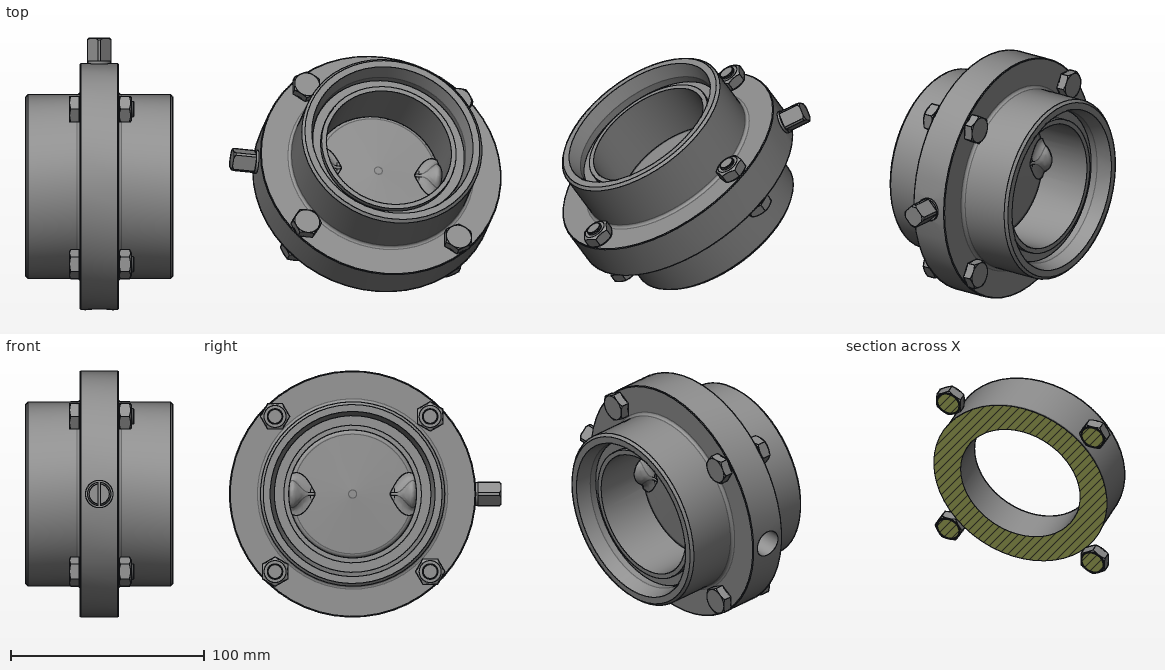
import cadquery as cq
import math

body_length = 76.0
body_radius = 95.0 / 2
body_end_chamfer = 1.4
flange_radius = 127.0 / 2
flange_width = 19.9
flange_edge_chamfer = 0.4
neck_fillet = 1.5

mouth_radius = 42.5
socket_radius = 80.8 / 2
mouth_taper_depth = 7.5
socket_depth = 11.3
lip_radius = 71.0 / 2
lip_height = 2.8
bore_radius = 66.0 / 2

disc_rim_thickness = 4.5
disc_rim_fillet = 2.1
disc_center_thickness = 7.5
disc_flat_radius = 4.2 / 2

hub_sections = [
    (19.3, 0.03, 0.5),
    (23.0, 0.8, 6.9),
    (26.3, 3.1, 10.2),
    (30.0, 5.7, 10.9),
    (bore_radius, 4.2, 8.8),
]

shaft_radius = 12.0 / 2
shaft_hole_radius = 14.1 / 2
shaft_hole_depth = 14.0
shaft_end_chamfer = 0.8
slot_width = 1.1
slot_depth = 1.4
overall_length = 140.0
drive_tip = overall_length - flange_radius
drive_shoulder = 64.7
drive_turn = 45
drive_corner_radius = 12.3 / 2
drive_across_flats = 9.7
drive_chamfer = 0.8

bolt_count = 4
first_bolt_angle = 45
bolt_circle_radius = 56.5
hex_turn = -15
bolt_radius = 8.0 / 2
bolt_tip_chamfer = 0.4
bolt_end = 17.9
hex_across_flats = 13.2
head_height = 5.3
nut_height = 6.7
seat_radius = 12.0 / 2
seat_thickness = 0.4
nut_face_radius = 11.3 / 2
hex_cone_angle = 30

overlap = 1.4

half_length = body_length / 2
half_flange = flange_width / 2
hex_corner_radius = hex_across_flats / 2 / math.cos(math.radians(30))


def x_cylinder(radius, x_start, x_end):
    return cq.Workplane("YZ").workplane(offset=x_start).circle(radius).extrude(x_end - x_start)


def y_cylinder(radius, y_start, y_end):
    return cq.Workplane("XZ").workplane(offset=-y_start).circle(radius).extrude(y_start - y_end)


def make_body():
    sockets = x_cylinder(body_radius, -half_length, half_length)
    sockets = sockets.faces("<X or >X").chamfer(body_end_chamfer)
    flange = x_cylinder(flange_radius, -half_flange, half_flange)
    flange = flange.faces("<X or >X").chamfer(flange_edge_chamfer)
    body = sockets.union(flange)
    near_flange = cq.selectors.BoxSelector(
        (-half_flange - neck_fillet / 2, -flange_radius, -flange_radius),
        (half_flange + neck_fillet / 2, flange_radius, flange_radius),
    )
    neck_edges = cq.selectors.RadiusNthSelector(0)
    return body.edges(near_flange).edges(neck_edges).fillet(neck_fillet)


def make_socket_cavity():
    """Tapered mouth and socket of the -X end, leaving the lip around the bore."""
    floor_x = -half_length + socket_depth
    lip_x = floor_x - lip_height
    return (
        cq.Workplane("XY")
        .moveTo(-half_length, 0)
        .lineTo(-half_length, mouth_radius)
        .lineTo(-half_length + mouth_taper_depth, socket_radius)
        .lineTo(floor_x, socket_radius)
        .lineTo(floor_x, lip_radius)
        .lineTo(lip_x, lip_radius)
        .lineTo(lip_x, 0)
        .close()
        .revolve(360, (0, 0, 0), (1, 0, 0))
    )


def make_disc():
    half_rim = disc_rim_thickness / 2
    half_center = disc_center_thickness / 2
    fillet_start = bore_radius - disc_rim_fillet
    arc_offset = disc_rim_fillet * math.sqrt(0.5)
    arc_x = half_rim - disc_rim_fillet + arc_offset
    arc_r = fillet_start + arc_offset
    return (
        cq.Workplane("XY")
        .moveTo(-half_center, 0)
        .lineTo(-half_center, disc_flat_radius)
        .lineTo(-half_rim, fillet_start)
        .threePointArc((-arc_x, arc_r), (disc_rim_fillet - half_rim, bore_radius))
        .lineTo(half_rim - disc_rim_fillet, bore_radius)
        .threePointArc((arc_x, arc_r), (half_rim, fillet_start))
        .lineTo(half_center, disc_flat_radius)
        .lineTo(half_center, 0)
        .close()
        .revolve(360, (0, 0, 0), (1, 0, 0))
    )


def disc_half_thickness(radius):
    """Half thickness of the conical disc at a distance from its center."""
    cone_length = bore_radius - disc_rim_fillet - disc_flat_radius
    slope = (disc_center_thickness - disc_rim_thickness) / 2 / cone_length
    return disc_center_thickness / 2 - slope * (radius - disc_flat_radius)


def hub_section(y, rise, foot):
    """Cross-section of half a hub: a round crown about the shaft axis, blended by arcs to the disc face."""
    face = disc_half_thickness(y)
    crown = face + rise
    blend = (foot**2 - crown**2 + face**2) / (2 * (crown - face))
    tangent_angle = math.atan2(foot, face + blend)
    tangent = (-crown * math.cos(tangent_angle), crown * math.sin(tangent_angle))
    blend_turn = tangent_angle / 2
    middle = (
        -face - blend + blend * math.cos(blend_turn),
        foot - blend * math.sin(blend_turn),
    )
    return (
        cq.Workplane(cq.Plane((0, y, 0), (1, 0, 0), (0, -1, 0)))
        .moveTo(0, -foot)
        .lineTo(-face, -foot)
        .threePointArc((middle[0], -middle[1]), (tangent[0], -tangent[1]))
        .threePointArc((-crown, 0), tangent)
        .threePointArc(middle, (-face, foot))
        .lineTo(0, foot)
        .close()
        .val()
    )


def make_hub():
    """Hub of the +Y side on both disc faces, reaching the bore wall."""
    sections = [hub_section(*section) for section in hub_sections]
    half = cq.Workplane(cq.Solid.makeLoft(sections))
    return half.union(half.mirror("YZ"))


def make_drive():
    neck = y_cylinder(shaft_radius, bore_radius + overlap, drive_shoulder)
    square = cq.Workplane("XY").box(drive_across_flats, drive_tip - drive_shoulder, drive_across_flats)
    square = square.rotate((0, 0, 0), (0, 1, 0), drive_turn)
    square = square.translate((0, (drive_tip + drive_shoulder) / 2, 0))
    rounded = y_cylinder(drive_corner_radius, drive_shoulder, drive_tip)
    rounded = rounded.faces(">Y").chamfer(drive_chamfer)
    return neck.union(square.intersect(rounded))


def make_shaft_end():
    """Slotted, chamfered shaft end at the bottom of the -Y hole."""
    floor_y = -flange_radius + shaft_hole_depth
    end_y = floor_y - slot_depth
    end = y_cylinder(shaft_radius, end_y, floor_y + overlap).faces("<Y").chamfer(shaft_end_chamfer)
    slot = cq.Workplane("XY").box(slot_width, slot_depth, 2 * shaft_radius)
    return end.cut(slot.translate((0, end_y + slot_depth / 2, 0)))


def hex_with_cones(x_start, x_end, start_radius, end_radius):
    """Hexagon prism along X whose corners are trimmed by a cone starting from each end face."""
    slope = math.tan(math.radians(hex_cone_angle))
    prism = (
        cq.Workplane("YZ")
        .workplane(offset=x_start)
        .polygon(6, 2 * hex_corner_radius)
        .extrude(x_end - x_start)
    )
    cones = (
        cq.Workplane("XY")
        .moveTo(x_start, 0)
        .lineTo(x_start, start_radius)
        .lineTo(x_start + (hex_corner_radius + overlap - start_radius) * slope, hex_corner_radius + overlap)
        .lineTo(x_end - (hex_corner_radius + overlap - end_radius) * slope, hex_corner_radius + overlap)
        .lineTo(x_end, end_radius)
        .lineTo(x_end, 0)
        .close()
        .revolve(360, (0, 0, 0), (1, 0, 0))
    )
    return prism.intersect(cones)


def make_bolt():
    """Bolt on the X axis: chamfered head, washer faces against the flange, nut and shank tip."""
    half_flats = hex_across_flats / 2
    seat_end = half_flange + seat_thickness
    head = hex_with_cones(-half_flange - head_height, -seat_end, half_flats, hex_corner_radius)
    seats = x_cylinder(seat_radius, -seat_end, seat_end)
    seats = seats.cut(x_cylinder(seat_radius, -half_flange, half_flange))
    nut = hex_with_cones(seat_end, half_flange + nut_height, half_flats, nut_face_radius)
    shank = x_cylinder(bolt_radius, -seat_end, bolt_end)
    shank = shank.faces(">X").chamfer(bolt_tip_chamfer)
    return shank.union(head).union(seats).union(nut)


body = make_body()
body = body.cut(x_cylinder(bore_radius, -half_length, half_length))
cavity = make_socket_cavity()
body = body.cut(cavity).cut(cavity.mirror("YZ"))
body = body.cut(y_cylinder(shaft_hole_radius, -flange_radius - overlap, -flange_radius + shaft_hole_depth))

hub = make_hub()
result = body.union(make_disc()).union(hub).union(hub.mirror("XZ"))
result = result.union(make_drive()).union(make_shaft_end())

bolt = make_bolt().rotate((0, 0, 0), (1, 0, 0), hex_turn)
bolt = bolt.translate((0, bolt_circle_radius, 0))
for index in range(bolt_count):
    angle = first_bolt_angle + index * 360 / bolt_count
    result = result.union(bolt.rotate((0, 0, 0), (1, 0, 0), angle))